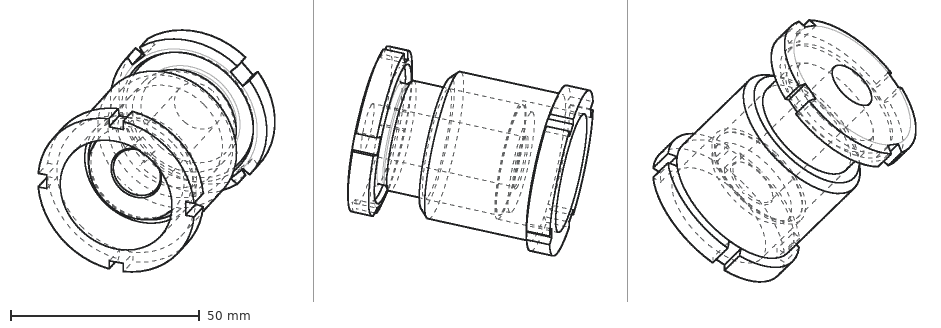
import cadquery as cq

overall_length = 55.95
flange_radius = 22.5
flange_thickness = 7.0
flange_bevel = 0.65
slot_floor_radius = 19.95
slot_count = 4

housing_length = 36.9
housing_radius = 19.95
housing_chamfer = 2.0
counterbore_radius = 16.05
counterbore_depth = 16.8
housing_slot_width = 4.0

spindle_radius = 15.0
spindle_front = 13.8
nose_radius = 13.65
nose_length = 1.4
spindle_bore_radius = 6.75
bore_chamfer = 0.45
neck_radius = 13.75
neck_cone_start = 46.6
neck_cone_end = neck_cone_start + spindle_radius - neck_radius
corner_fillet = 0.65
recess_radius = 18.9
recess_floor_radius = 18.35
recess_depth = 1.4
spindle_slot_width = 5.0

tolerance = 0.005


def revolve_about_y(profile):
    """Turn a closed (radius, y) outline about the Y axis."""
    return cq.Workplane("XY").polyline(profile).close().revolve(360, (0, 0, 0), (0, 1, 0))


def cut_rim_slots(body, flange_start, width, first_angle):
    """Cut equally spaced wrench slots through a flange rim."""
    slot_height = flange_radius
    for index in range(slot_count):
        slot = (
            cq.Workplane("XY")
            .box(width, flange_thickness, slot_height, centered=(True, False, False))
            .translate((0, flange_start, slot_floor_radius))
            .rotate((0, 0, 0), (0, 1, 0), first_angle + index * 360 / slot_count)
        )
        body = body.cut(slot)
    return body


def fillet_corner(body, corner_y):
    """Round the inside corner of the nose or neck at the given y."""
    def is_corner(edge):
        box = edge.BoundingBox()
        level = abs(box.ymin - corner_y) < tolerance and abs(box.ymax - corner_y) < tolerance
        return level and box.xmax < spindle_radius
    corner = [edge for edge in body.edges("%CIRCLE").vals() if is_corner(edge)]
    return body.newObject([body.val().fillet(corner_fillet, corner)])


def make_housing():
    turned = revolve_about_y([
        (counterbore_radius, 0),
        (flange_radius, 0),
        (flange_radius, flange_thickness - flange_bevel),
        (housing_radius, flange_thickness),
        (housing_radius, housing_length - housing_chamfer),
        (housing_radius - housing_chamfer, housing_length),
        (spindle_radius, housing_length),
        (spindle_radius, counterbore_depth),
        (counterbore_radius, counterbore_depth),
    ])
    return cut_rim_slots(turned, 0, housing_slot_width, 0)


def make_spindle():
    flange_front = overall_length - flange_thickness
    recess_floor = flange_front + recess_depth
    nose_end = spindle_front + nose_length
    bevel_radius = slot_floor_radius
    turned = revolve_about_y([
        (spindle_bore_radius + bore_chamfer, spindle_front),
        (nose_radius, spindle_front),
        (nose_radius, nose_end),
        (spindle_radius, nose_end + spindle_radius - nose_radius),
        (spindle_radius, neck_cone_start),
        (neck_radius, neck_cone_end),
        (neck_radius, recess_floor),
        (recess_floor_radius, recess_floor),
        (recess_radius, flange_front),
        (bevel_radius, flange_front),
        (flange_radius, flange_front + flange_bevel),
        (flange_radius, overall_length - flange_bevel),
        (bevel_radius, overall_length),
        (spindle_bore_radius, overall_length),
        (spindle_bore_radius, spindle_front + bore_chamfer),
    ])
    for corner_y in (nose_end, neck_cone_end, recess_floor):
        turned = fillet_corner(turned, corner_y)
    return cut_rim_slots(turned, flange_front, spindle_slot_width, 45)


housing = make_housing()
spindle = make_spindle()
result = cq.Compound.makeCompound([housing.val(), spindle.val()])